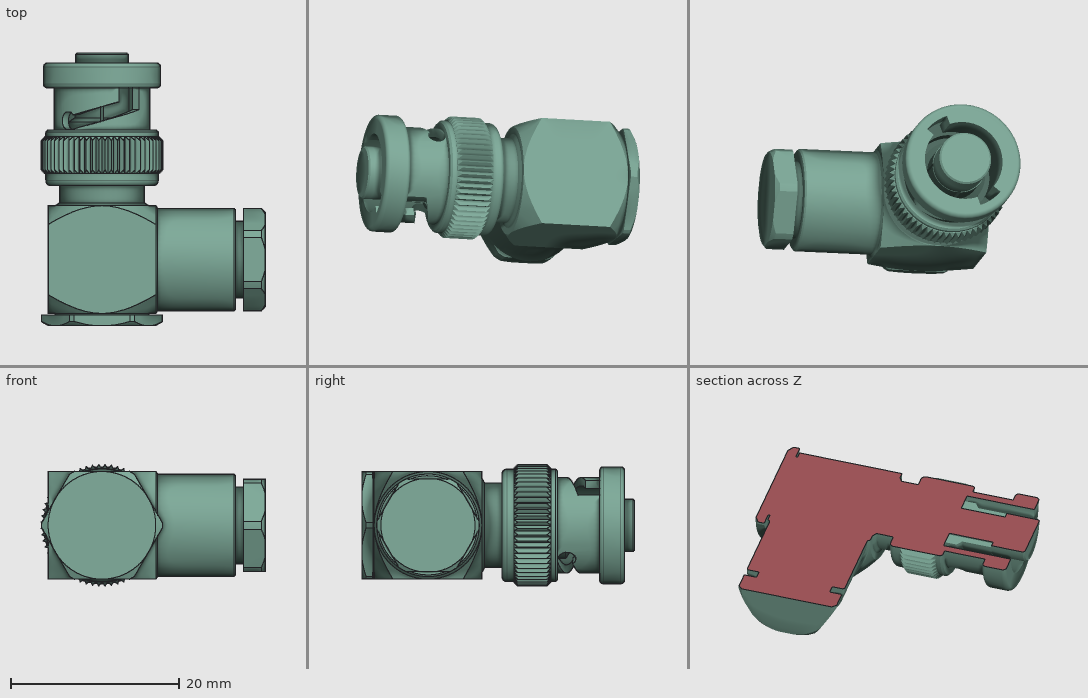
import cadquery as cq
import math


body_half = 6.4
body_corner_angle = 40.0

cap_flats = 12.75
cap_corner_diameter = 14.38
cap_end = -7.86
cap_inner = -6.56
cap_chamfer_height = 0.5
cap_neck_diameter = 11.18

arm_diameter = 12.19
arm_flare_end = 6.62
arm_end = 15.88
arm_chamfer = 0.2
arm_neck_diameter = 9.16
nut_start = 16.8
nut_end = 19.42
nut_flats = 11.0
nut_chamfer_height = 0.48
nut_end_diameter = 11.18

neck_diameter = 10.08
neck_flare_diameter = 11.18
neck_flare_end = 6.74

collar_diameter = 13.38
collar_start = 8.79
collar_end = 15.41
collar_rear_fillet = 0.6
collar_front_chamfer = 0.25
knurl_diameter = 14.48
knurl_start = 10.2
knurl_end = 14.6
knurl_chamfer = 0.48
knurl_tooth_count = 60

sleeve_diameter = 11.39
sleeve_bore = 9.39
cavity_floor = 15.0
head_diameter = 13.92
head_start = 20.4
head_end = 23.37
head_front_fillet = 0.5
head_rear_fillet = 0.45

finger_diameter = 6.4
tip_diameter = 6.25
core_base_diameter = 7.88
core_cone_start = 16.37
core_cone_end = 16.85
core_end = 24.56
core_chamfer = 0.2
core_slit_width = 0.37
core_slit_floor_diameter = 4.88

entry_start_angle = 20.8
entry_end_angle = 50.7
groove_diameter = 11.45
slot_end_angle = -45.0
slot_helix_angle = 15.0
slot_axial_width = 1.7
slot_corner = 17.82
lock_hole_diameter = 2.13
lock_hole_position = 16.5


def disc(diameter, start, end):
    """Cylinder about the Y axis between two Y positions."""
    return cq.Workplane("XZ").workplane(offset=-start).circle(diameter / 2).extrude(start - end)


def revolved(points, plane="XY"):
    """Solid of revolution about the second axis of a plane, from (radius, height) points."""
    return cq.Workplane(plane).polyline(points).close().revolve(360, (0, 0, 0), (0, 1, 0))


def hex_with_turned_corners(flats, corner_diameter, length, chamfer_height, end_diameter):
    """Hexagon along +Z, a corner on local X, with turned corners and a chamfered far end."""
    across_corners = flats / math.cos(math.radians(30))
    hexagon = cq.Workplane("XY").polygon(6, across_corners).extrude(length)
    turned = revolved(
        [
            (0, 0),
            (corner_diameter / 2, 0),
            (corner_diameter / 2, length - chamfer_height),
            (end_diameter / 2, length),
            (0, length),
        ],
        plane="XZ",
    )
    return hexagon.intersect(turned)


def body():
    """Cube whose corners are coned off at both Y ends."""
    cube = cq.Workplane("XY").box(2 * body_half, 2 * body_half, 2 * body_half)
    corner_radius = body_half * math.sqrt(2)
    cone_height = (corner_radius - body_half) * math.tan(math.radians(body_corner_angle))
    shoulder = body_half - cone_height
    envelope = revolved(
        [
            (0, -body_half),
            (body_half, -body_half),
            (corner_radius, -shoulder),
            (corner_radius, shoulder),
            (body_half, body_half),
            (0, body_half),
        ]
    )
    return cube.intersect(envelope)


def cap():
    """Hexagonal closing cap on a short round neck."""
    neck = disc(cap_neck_diameter, cap_inner, -body_half)
    hexagon = hex_with_turned_corners(
        cap_flats, cap_corner_diameter, cap_inner - cap_end, cap_chamfer_height, 2 * body_half
    )
    hexagon = hexagon.rotate((0, 0, 0), (1, 0, 0), 90).translate((0, cap_inner, 0))
    return neck.union(hexagon)


def arm():
    """Round cable arm along +X, ending in a hexagonal clamp nut."""
    barrel = cq.Workplane("YZ").circle(arm_diameter / 2).extrude(arm_end).faces(">X").chamfer(arm_chamfer)
    flare = (
        cq.Workplane("XY")
        .polyline(
            [
                (body_half, 0),
                (body_half, body_half),
                (arm_flare_end, arm_diameter / 2),
                (arm_flare_end, 0),
            ]
        )
        .close()
        .revolve(360, (0, 0, 0), (1, 0, 0))
    )
    neck = cq.Workplane("YZ").circle(arm_neck_diameter / 2).extrude(nut_start)
    nut = hex_with_turned_corners(
        nut_flats, arm_diameter, nut_end - nut_start, nut_chamfer_height, nut_end_diameter
    )
    nut = nut.rotate((0, 0, 0), (0, 0, 1), 90).rotate((0, 0, 0), (0, 1, 0), 90)
    return barrel.union(flare).union(neck).union(nut.translate((nut_start, 0, 0)))


def neck():
    """Round neck that flares out where it meets the body."""
    flare = revolved(
        [
            (0, body_half),
            (neck_flare_diameter / 2, body_half),
            (neck_diameter / 2, neck_flare_end),
            (0, neck_flare_end),
        ]
    )
    return flare.union(disc(neck_diameter, body_half, collar_start))


def knurl():
    """Ring of V-shaped teeth, chamfered down to the collar at both ends."""
    pitch = 2 * math.pi / knurl_tooth_count
    valley_radius = collar_diameter / 2
    crest_radius = knurl_diameter / 2
    outline = []
    for tooth in range(knurl_tooth_count):
        valley_angle = tooth * pitch
        crest_angle = valley_angle + pitch / 2
        outline.append((valley_radius * math.cos(valley_angle), valley_radius * math.sin(valley_angle)))
        outline.append((crest_radius * math.cos(crest_angle), crest_radius * math.sin(crest_angle)))
    ring = cq.Workplane("XZ").workplane(offset=-knurl_start).polyline(outline).close()
    ring = ring.extrude(knurl_start - knurl_end)
    return ring.intersect(disc(knurl_diameter, knurl_start, knurl_end).edges().chamfer(knurl_chamfer))


def collar():
    """Plain collar under the knurl, rounded at the rear and chamfered at the front."""
    ring = disc(collar_diameter, collar_start, collar_end)
    ring = ring.faces("<Y").edges().fillet(collar_rear_fillet)
    return ring.faces(">Y").edges().chamfer(collar_front_chamfer)


def sector(start, diameter, start_angle, end_angle):
    """Pie-slice wire about Y in the plane at Y = start; it extrudes towards -Y."""
    radius = diameter / 2
    middle_angle = (start_angle + end_angle) / 2
    start_point, middle_point, end_point = (
        (radius * math.sin(math.radians(angle)), radius * math.cos(math.radians(angle)))
        for angle in (start_angle, middle_angle, end_angle)
    )
    plane = cq.Workplane("XZ").workplane(offset=-start)
    return plane.lineTo(*start_point).threePointArc(middle_point, end_point).close()


def entry_groove(bottom):
    """Axial lead-in of a bayonet slot, open at the front of the head."""
    return sector(head_end, groove_diameter, entry_start_angle, entry_end_angle).extrude(head_end - bottom)


def slot():
    """Axial lead-in, helical ramp and locking hole of one bayonet slot."""
    rise_per_degree = math.radians(sleeve_diameter / 2) * math.tan(math.radians(slot_helix_angle))
    band_angle = slot_axial_width / rise_per_degree
    ramp_angle = entry_end_angle - slot_end_angle
    ramp_top = slot_corner + slot_axial_width
    ramp_height = ramp_angle * rise_per_degree + slot_axial_width
    band = sector(ramp_top, groove_diameter, entry_end_angle, entry_end_angle + band_angle)
    band = band.twistExtrude(ramp_height, ramp_height / rise_per_degree)
    band = band.cut(disc(tip_diameter, cavity_floor, head_end))
    ramp_limits = sector(ramp_top, groove_diameter, slot_end_angle, entry_end_angle).extrude(ramp_height)
    entry_bottom = ramp_top - (entry_end_angle - entry_start_angle) * rise_per_degree
    lock_hole = (
        cq.Workplane("XY")
        .center(0, lock_hole_position)
        .circle(lock_hole_diameter / 2)
        .extrude(sleeve_diameter)
        .rotate((0, 0, 0), (0, 1, 0), slot_end_angle)
    )
    return band.intersect(ramp_limits).union(entry_groove(entry_bottom)).union(lock_hole)


def sleeve():
    """Hollow bayonet sleeve with its head and two opposite slots."""
    head = disc(head_diameter, head_start, head_end).faces(">Y").edges().fillet(head_front_fillet)
    head = head.faces("<Y").edges().fillet(head_rear_fillet)
    shell = disc(sleeve_diameter, cavity_floor, head_start).union(head)
    shell = shell.cut(disc(sleeve_bore, cavity_floor, head_end))
    for turn in (0, 180):
        shell = shell.cut(slot().rotate((0, 0, 0), (0, 1, 0), turn))
    return shell


def core():
    """Contact core in the sleeve, slit on four sides into spring fingers below a narrower tip."""
    base_radius = core_base_diameter / 2
    finger_radius = finger_diameter / 2
    tip_radius = tip_diameter / 2
    stem = revolved(
        [
            (0, collar_start),
            (base_radius, collar_start),
            (base_radius, core_cone_start),
            (finger_radius, core_cone_end),
            (finger_radius, head_start),
            (tip_radius, head_start),
            (tip_radius, core_end),
            (0, core_end),
        ]
    )
    stem = stem.faces(">Y").edges().chamfer(core_chamfer)
    slit_length = head_start - cavity_floor
    slit_middle = (head_start + cavity_floor) / 2
    slit = cq.Workplane("XY").box(core_slit_width, slit_length, core_base_diameter)
    slits = slit.union(slit.rotate((0, 0, 0), (0, 1, 0), 90)).translate((0, slit_middle, 0))
    slits = slits.cut(disc(core_slit_floor_diameter, cavity_floor, head_start))
    return stem.cut(slits)


def coupling():
    """Knurled collar, bayonet sleeve and contact core."""
    ring = collar().union(knurl()).cut(disc(sleeve_bore, cavity_floor, collar_end))
    return ring.union(sleeve()).union(core())


result = body().union(cap()).union(arm()).union(neck()).union(coupling())